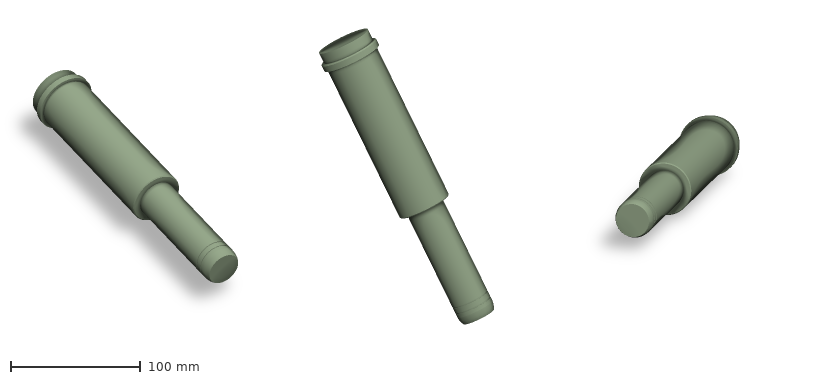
import cadquery as cq
import math

length = 240.0

sleeve_diameter = 42.0
sleeve_length = 144.0
sleeve_end_chamfer = 0.7
collar_diameter = 47.0
collar_start = 9.0
collar_end = 14.6
collar_chamfer = 1.0

relief_diameter = 41.0
head_length = 8.2
back_relief_end = 16.0

rod_diameter = 30.0
groove_diameter = 29.0
groove_width = 1.0
groove_starts = (224.2, 229.2)
nose_start = 233.3
nose_radius = 13.2


def cylinder(start, end, diameter):
    """Solid cylinder along X between two positions."""
    return cq.Workplane("YZ").workplane(offset=start).circle(diameter / 2).extrude(end - start)


def ring_cut(start, end, diameter):
    """Ring that, once cut away, leaves the given diameter between two positions."""
    return cylinder(start, end, collar_diameter).cut(cylinder(start, end, diameter))


def make_sleeve():
    sleeve = cylinder(0, sleeve_length, sleeve_diameter).faces(">X").chamfer(sleeve_end_chamfer)
    sleeve = sleeve.cut(ring_cut(head_length, back_relief_end, relief_diameter))
    collar = cylinder(collar_start, collar_end, collar_diameter).faces("<X").chamfer(collar_chamfer)
    return sleeve.union(collar)


def make_rod():
    """Rod whose nose is an arc that leaves the rod side tangentially."""
    radius = rod_diameter / 2
    nose_length = length - nose_start

    def nose_height(distance):
        return radius - nose_radius + math.sqrt(nose_radius**2 - distance**2)

    rod = (
        cq.Workplane("XY")
        .moveTo(0, 0)
        .lineTo(0, radius)
        .lineTo(nose_start, radius)
        .threePointArc(
            (nose_start + nose_length / 2, nose_height(nose_length / 2)),
            (length, nose_height(nose_length)),
        )
        .lineTo(length, 0)
        .close()
        .revolve(360, (0, 0, 0), (1, 0, 0))
    )
    for start in groove_starts:
        rod = rod.cut(ring_cut(start, start + groove_width, groove_diameter))
    return rod


result = make_sleeve().union(make_rod())